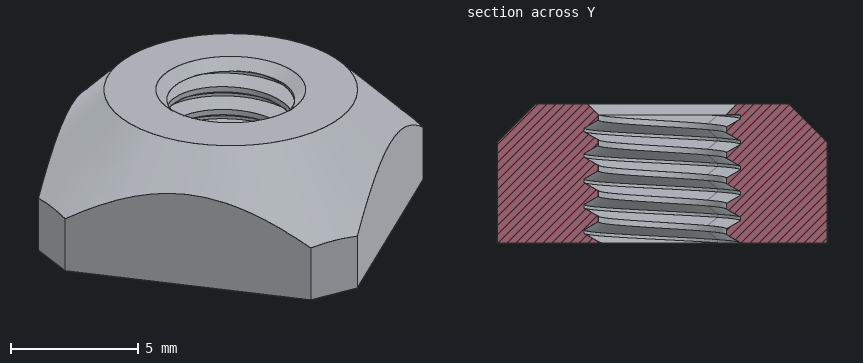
import cadquery as cq
import math

width = 13.0
height = 5.5
corner_chamfer = 1.5

top_face_diameter = 9.98

minor_diameter = 5.03
major_diameter = 6.15
pitch = 1.0
countersink_diameter = 5.9
countersink_depth = (countersink_diameter - minor_diameter) / 2
root_flat = pitch / 8
flank_angle = 30.0
thread_start_angle = 225.0
thread_start_height = -0.91 * pitch
thread_turns = math.ceil(height / pitch) + 1
cut_overlap = 0.05


def nut_body():
    """Square block with cut corners, trimmed by a 45-degree cone."""
    block = cq.Workplane("XY").rect(width, width).extrude(height)
    block = block.edges("|Z").chamfer(corner_chamfer)
    top_radius = top_face_diameter / 2
    cone = (
        cq.Workplane("XZ")
        .polyline([(0, 0), (top_radius + height, 0), (top_radius, height), (0, height)])
        .close()
        .revolve(360, (0, 0), (0, 1))
    )
    return block.intersect(cone)


def bore():
    """Through hole at the thread's minor diameter with a 45-degree countersink."""
    radius = minor_diameter / 2
    mouth_radius = countersink_diameter / 2
    return (
        cq.Workplane("XZ")
        .polyline([
            (0, 0),
            (radius, 0),
            (radius, height - countersink_depth),
            (mouth_radius, height),
            (0, height),
        ])
        .close()
        .revolve(360, (0, 0), (0, 1))
    )


def thread_turn():
    """Cutter for one turn of the right-hand thread groove, at its lowest position."""
    inner_radius = minor_diameter / 2 - cut_overlap
    outer_radius = major_diameter / 2
    half_root = root_flat / 2
    half_mouth = half_root + (outer_radius - inner_radius) * math.tan(math.radians(flank_angle))
    helix = cq.Wire.makeHelix(pitch, pitch, minor_diameter / 2)
    profile = (
        cq.Workplane("XZ")
        .polyline([
            (inner_radius, -half_mouth),
            (outer_radius, -half_root),
            (outer_radius, half_root),
            (inner_radius, half_mouth),
        ])
        .close()
    )
    groove = profile.sweep(cq.Workplane(obj=helix), isFrenet=True)
    return groove.rotate((0, 0, 0), (0, 0, 1), thread_start_angle).translate((0, 0, thread_start_height))


def cut_thread(nut):
    """Cut the groove turn by turn, from below the bottom face up to the foot of the countersink."""
    turn = thread_turn()
    threaded_zone = (
        cq.Workplane("XY", origin=(0, 0, thread_start_height - pitch))
        .rect(width, width)
        .extrude(height - countersink_depth - thread_start_height + pitch)
    )
    for index in range(thread_turns):
        nut = nut.cut(turn.translate((0, 0, index * pitch)).intersect(threaded_zone))
    return nut


result = cut_thread(nut_body().cut(bore()))